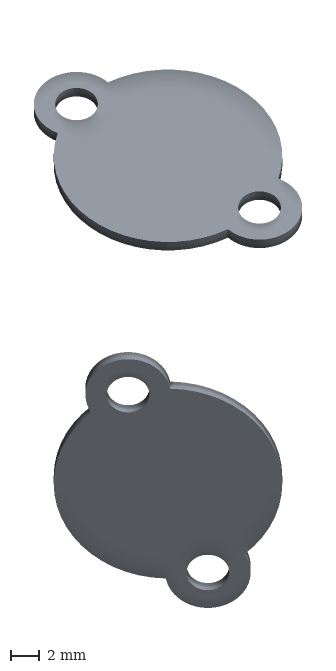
import cadquery as cq

overall_length = 21.98
disc_diameter = 16.0
thickness = 0.9
hole_diameter = 3.0

ear_spacing = disc_diameter
ear_diameter = overall_length - ear_spacing
ear_centers = [(-ear_spacing / 2, 0), (ear_spacing / 2, 0)]


def cylinders(centers, diameter):
    """Upright cylinders of full plate thickness at the given centres."""
    return cq.Workplane("XY").pushPoints(centers).circle(diameter / 2).extrude(thickness)


disc = cylinders([(0, 0)], disc_diameter)
ears = cylinders(ear_centers, ear_diameter)

holes = cylinders(ear_centers, hole_diameter)

result = disc.union(ears).cut(holes)